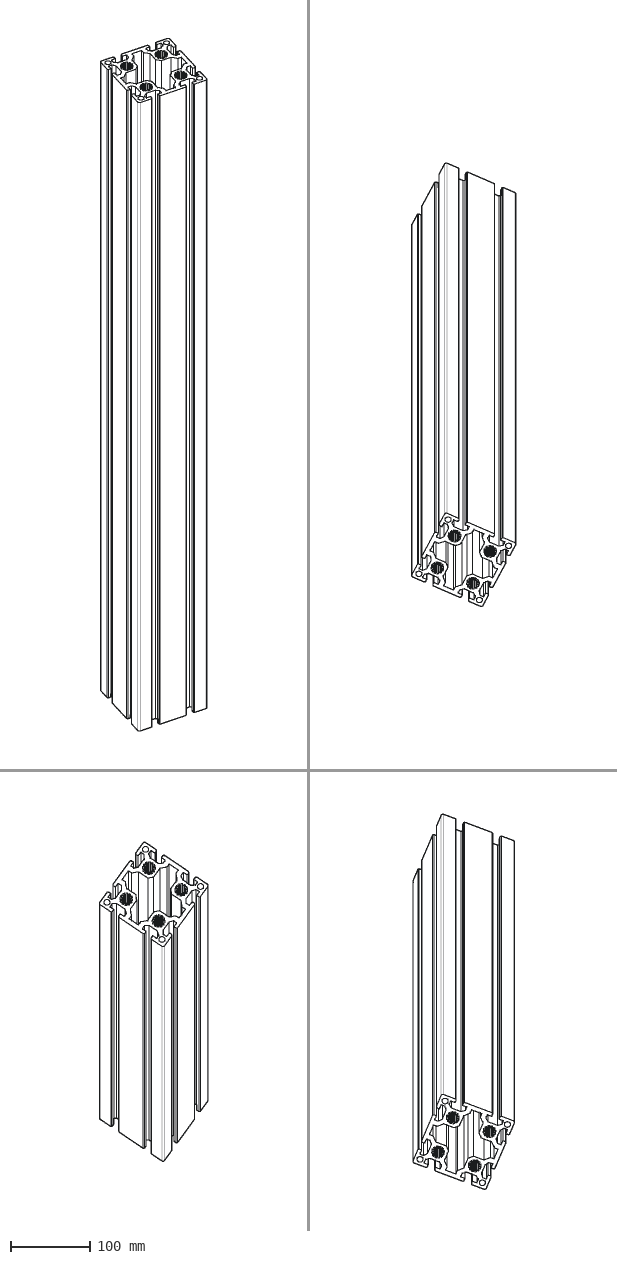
import cadquery as cq

side = 100.0
length = 1000.0
corner_radius = 2.5

slot_pitch = 50.0
slot_opening = 10.0
slot_depth = 13.25
slot_cavity_width = 22.0
slot_floor_width = 13.0
slot_floor_chamfer = 3.5
lip_thickness = 4.75
mouth_chamfer = 1.25

boss_corner_chamfer = 5.25
core_hole_diameter = 10.75
core_tip_diameter = 16.0
core_lobe_width = 2.0
core_lobe_count = 12

side_wall = 6.0
cavity_end_width = 14.0
cavity_shoulder = 32.75

corner_void_diameter = 7.5
corner_void_offset = 42.5

half_side = side / 2
slot_offset = slot_pitch / 2
slot_floor = half_side - slot_depth
boss_size = 2 * (slot_floor - slot_offset)
cavity_half_width = slot_offset - boss_size / 2
quarter_turns = (0, 90, 180, 270)


def four_corners(offset):
    """One point in each quadrant, at the same offset from both axes."""
    return [(x_sign * offset, y_sign * offset) for x_sign in (-1, 1) for y_sign in (-1, 1)]


def turned(cutter, angle):
    return cutter.rotate((0, 0, 0), (0, 0, 1), angle)


def extrude_mirrored(half_outline, centre):
    """Full-length prism whose outline is mirrored about the line x = centre."""
    left = [(centre - x, y) for x, y in half_outline]
    right = [(centre + x, y) for x, y in reversed(half_outline)]
    return cq.Workplane("XY").polyline(left + right).close().extrude(length)


def slot_cutter(centre):
    """T-slot opening towards +Y, with a chamfered mouth and a tapered floor."""
    opening = slot_opening / 2
    cavity = slot_cavity_width / 2
    half_outline = [
        (opening + mouth_chamfer, half_side),
        (opening, half_side - mouth_chamfer),
        (opening, half_side - lip_thickness),
        (cavity, half_side - lip_thickness),
        (cavity, slot_floor + slot_floor_chamfer),
        (slot_floor_width / 2, slot_floor),
    ]
    return extrude_mirrored(half_outline, centre)


def cavity_arm():
    """Arm of the cross-shaped central cavity, running from the axis towards +Y."""
    end = cavity_end_width / 2
    half_outline = [
        (cavity_half_width, 0),
        (cavity_half_width, cavity_shoulder),
        (end, cavity_shoulder + cavity_half_width - end),
        (end, half_side - side_wall),
    ]
    return extrude_mirrored(half_outline, 0)


def central_cavity():
    """Four joined arms, with the inner corners of the bosses cut at 45 degrees."""
    cavity = cavity_arm()
    for turn in quarter_turns[1:]:
        cavity = cavity.union(turned(cavity_arm(), turn))
    for x, y in four_corners(cavity_half_width):
        boss_edge = cq.selectors.NearestToPointSelector((x, y, length / 2))
        cavity = cavity.edges(boss_edge).chamfer(boss_corner_chamfer)
    return cavity


def core_hole():
    """Round hole with narrow lobes reaching out from it, on the Z axis."""
    hole = cq.Workplane("XY").circle(core_hole_diameter / 2).extrude(length)
    for index in range(core_lobe_count // 2):
        bar = cq.Workplane("XY").rect(core_tip_diameter, core_lobe_width).extrude(length)
        hole = hole.union(turned(bar, index * 360 / core_lobe_count))
    return hole


result = cq.Workplane("XY").rect(side, side).extrude(length).edges("|Z").fillet(corner_radius)

result = result.cut(central_cavity())

for turn in quarter_turns:
    for centre in (-slot_offset, slot_offset):
        result = result.cut(turned(slot_cutter(centre), turn))

core = core_hole()
for x, y in four_corners(slot_offset):
    result = result.cut(core.translate((x, y, 0)))

corner_voids = cq.Workplane("XY").pushPoints(four_corners(corner_void_offset))
result = result.cut(corner_voids.circle(corner_void_diameter / 2).extrude(length))